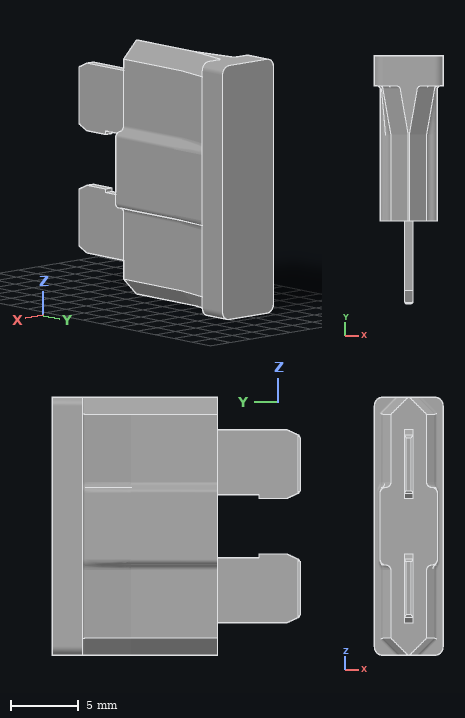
import cadquery as cq
import math

height = 19.05
head_width = 5.09
head_depth = 2.23
head_corner_radius = 0.65

body_end = 12.2
taper_end = 5.83
middle_half_width = 2.11
lobe_half_width = 1.31
lobe_half_width_at_head = 1.95
shoulder_z = 8.25
step_z = 2.85
step_span = middle_half_width - lobe_half_width
root_fillet = 0.23

blade_thickness = 0.65
blade_tip = 18.29
blade_outer_z = 7.12
blade_root_inner_z = 2.3
blade_inner_z = 2.04
blade_notch_end = 15.24
blade_corner_start = 17.3
blade_corner_height = 0.45
blade_tip_chamfer = 0.15
blade_tip_chamfer_length = 0.11
blade_embed = 0.38


def tangent_arc_middle(start, end):
    """Middle of an arc that leaves the start point parallel to the Z axis."""
    dx = end[0] - start[0]
    dz = end[1] - start[1]
    chord = math.hypot(dx, dz)
    half_angle = math.atan2(abs(dx), abs(dz))
    sagitta = chord / 2 * math.tan(half_angle / 2)
    normal_x = -math.copysign(abs(dz), dx) / chord
    normal_z = math.copysign(abs(dx), dz) / chord
    return (
        (start[0] + end[0]) / 2 + sagitta * normal_x,
        (start[1] + end[1]) / 2 + sagitta * normal_z,
    )


def step_curve(wire, start, end):
    """Two opposed arcs, both running parallel to Z at their outer ends."""
    middle = ((start[0] + end[0]) / 2, (start[1] + end[1]) / 2)
    wire = wire.threePointArc(tangent_arc_middle(start, middle), middle)
    return wire.threePointArc(tangent_arc_middle(end, middle), end)


def body_section(depth, half_width):
    """Closed body outline at a depth in front of the back face."""
    top = height / 2
    tip = half_width - (top - shoulder_z)
    lobe_z = step_z + step_span / 2
    middle_z = step_z - step_span / 2
    wire = cq.Workplane("XZ", origin=(0, -depth, 0)).moveTo(-tip, top).lineTo(tip, top)
    wire = wire.lineTo(half_width, shoulder_z).lineTo(half_width, lobe_z)
    wire = step_curve(wire, (half_width, lobe_z), (middle_half_width, middle_z))
    wire = wire.lineTo(middle_half_width, -middle_z)
    wire = step_curve(wire, (middle_half_width, -middle_z), (half_width, -lobe_z))
    wire = wire.lineTo(half_width, -shoulder_z).lineTo(tip, -top).lineTo(-tip, -top)
    wire = wire.lineTo(-half_width, -shoulder_z).lineTo(-half_width, -lobe_z)
    wire = step_curve(wire, (-half_width, -lobe_z), (-middle_half_width, -middle_z))
    wire = wire.lineTo(-middle_half_width, middle_z)
    wire = step_curve(wire, (-middle_half_width, middle_z), (-half_width, lobe_z))
    return wire.lineTo(-half_width, shoulder_z).close()


def make_head():
    plate = cq.Workplane("XZ").rect(head_width, height).extrude(head_depth)
    return plate.edges("|Y").fillet(head_corner_radius)


def make_body():
    straight = body_section(taper_end, lobe_half_width).extrude(body_end - taper_end)
    sections = [
        body_section(head_depth, lobe_half_width_at_head).val(),
        body_section(taper_end, lobe_half_width).val(),
    ]
    taper = cq.Solid.makeLoft(sections, True)
    return straight.union(cq.Workplane(taper))


def fillet_root(housing):
    """Round the inside corner where the body meets the head plate."""
    edge_margin = 0.02
    root_zone = cq.selectors.BoxSelector(
        (-middle_half_width - edge_margin, -head_depth - edge_margin, -height / 2 + edge_margin),
        (middle_half_width + edge_margin, -head_depth + edge_margin, height / 2 - edge_margin),
    )
    return housing.edges("#Y").edges(root_zone).fillet(root_fillet)


def make_blade():
    """Upper blade, notched on its inner edge and chamfered around its tip."""
    outline = [
        (-body_end + blade_embed, blade_outer_z),
        (-blade_corner_start, blade_outer_z),
        (-blade_tip, blade_outer_z - blade_corner_height),
        (-blade_tip, blade_inner_z + blade_corner_height),
        (-blade_corner_start, blade_inner_z),
        (-blade_notch_end, blade_inner_z),
        (-blade_notch_end, blade_root_inner_z),
        (-body_end + blade_embed, blade_root_inner_z),
    ]
    blade = cq.Workplane("YZ").polyline(outline).close().extrude(blade_thickness / 2, both=True)
    return blade.faces("<Y").edges().chamfer(blade_tip_chamfer_length, blade_tip_chamfer)


housing = fillet_root(make_head().union(make_body()))
upper_blade = make_blade()
lower_blade = upper_blade.mirror("XY")
result = housing.union(upper_blade).union(lower_blade)